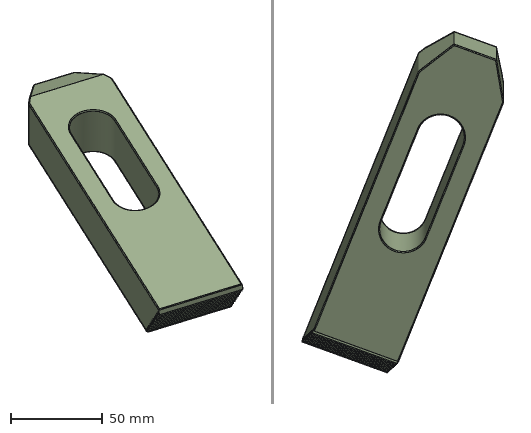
import cadquery as cq
import math

length = 200.0
width = 50.0
height = 32.0
edge_break = 0.5
fine_break = 0.3
end_break = 0.5

nose_angle = math.radians(30)
nose_width = 25.0
nose_drop = 10.0
side_taper_length = (width - nose_width) / 2 / math.tan(nose_angle)
top_slope_length = nose_drop / math.tan(nose_angle)

slot_start = 40.0
slot_end = 123.0
slot_width = 26.0

face_lean = math.radians(30)
tooth_run = 10
run_drop = 27.2
tooth_pitch = run_drop / tooth_run / math.cos(face_lean)
tooth_count = tooth_run + 2
tip_depth = 3.2
flank = tooth_pitch / math.sqrt(2)
tooth_tilt = math.radians(45) - face_lean


def make_blank():
    """Bar with a tapered nose; long edges and side corners are broken."""
    plan = [
        (0, -nose_width / 2),
        (side_taper_length, -width / 2),
        (length, -width / 2),
        (length, width / 2),
        (side_taper_length, width / 2),
        (0, nose_width / 2),
    ]
    slope = [
        (0, height - nose_drop),
        (0, height),
        (top_slope_length, height),
    ]
    blank = cq.Workplane("XY").polyline(plan).close().extrude(height)
    slope_cut = cq.Workplane("XZ").polyline(slope).close().extrude(width / 2, both=True)
    blank = blank.cut(slope_cut)
    tip_edges = blank.faces("<X").edges()
    sharp = tip_edges.edges("not <Z").vals() + blank.faces(">X").edges().vals()
    sharp += blank.faces(">Z").edges("<X").vals()
    broken = [edge for edge in blank.edges().vals() if not any(edge.isSame(other) for other in sharp)]
    blank = blank.newObject(broken).chamfer(edge_break)
    return blank.faces("<X").edges(">Z").chamfer(fine_break)


def make_slot():
    """Slot cutter with a chamfer at both rims."""
    slot_length = slot_end - slot_start
    cutter = (
        cq.Workplane("XY")
        .center((slot_start + slot_end) / 2, 0)
        .slot2D(slot_length, slot_width)
        .extrude(height)
    )
    for rim_height, direction in ((0, 1), (height, -1)):
        rim = (
            cq.Workplane("XY", origin=((slot_start + slot_end) / 2, 0, rim_height))
            .slot2D(slot_length + 2 * edge_break, slot_width + 2 * edge_break)
            .extrude(direction * edge_break, taper=45)
        )
        cutter = cutter.union(rim)
    return cutter


def make_end_cutter():
    """Material beyond the serrations and the broken top edge."""
    beyond = length + tooth_pitch
    top_x = length - tip_depth * math.tan(tooth_tilt)
    outline = [
        (beyond, height),
        (top_x - end_break, height),
        (top_x + end_break * math.tan(tooth_tilt), height - end_break),
    ]
    for tooth in range(tooth_count):
        tip_x = length - tooth * tooth_pitch * math.sin(face_lean)
        tip_z = height - tip_depth - tooth * tooth_pitch * math.cos(face_lean)
        root_x = tip_x - flank * math.cos(tooth_tilt)
        root_z = tip_z + flank * math.sin(tooth_tilt)
        outline += [(tip_x, tip_z), (root_x, root_z)]
    outline += [(root_x, -height), (beyond, -height)]
    return cq.Workplane("XZ").polyline(outline).close().extrude(width, both=True)


result = make_blank().cut(make_slot()).cut(make_end_cutter())